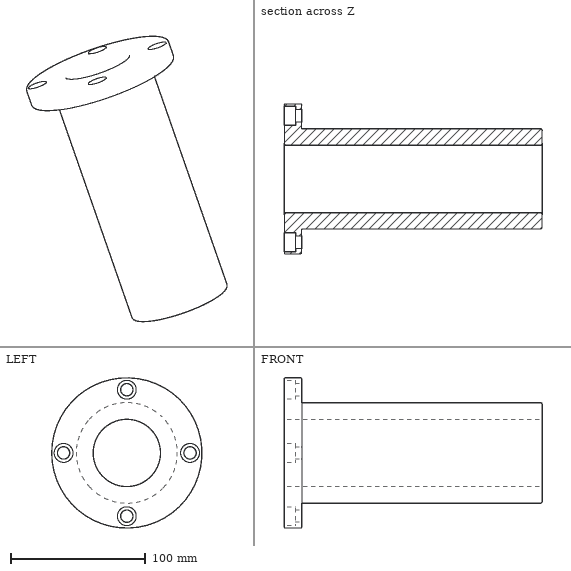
import cadquery as cq

length = 192.0
flange_diameter = 112.0
flange_thickness = 13.0
tube_diameter = 75.0
bore_diameter = 50.0

flange_edge_radius = 1.0
tube_edge_radius = 1.5
mouth_radius = 1.5

screw_count = 4
screw_circle_diameter = 94.0
screw_diameter = 9.0
counterbore_diameter = 14.0
counterbore_depth = 8.5

flange_face_x = -length / 2


def cylinder(diameter, height, start_x):
    """Solid cylinder along +X, starting at start_x."""
    return cq.Workplane("YZ", origin=(start_x, 0, 0)).circle(diameter / 2).extrude(height)


def screw_cutter(diameter, depth):
    """Cylinders at every screw position, going in from the flange face."""
    return (
        cq.Workplane("YZ", origin=(flange_face_x, 0, 0))
        .polarArray(screw_circle_diameter / 2, 0, 360, screw_count)
        .circle(diameter / 2)
        .extrude(depth)
    )


flange = cylinder(flange_diameter, flange_thickness, flange_face_x).edges("%CIRCLE").fillet(flange_edge_radius)
tube = cylinder(tube_diameter, length, flange_face_x).faces(">X").edges("%CIRCLE").fillet(tube_edge_radius)
body = flange.union(tube)

bore = cylinder(bore_diameter, length, flange_face_x)
body = body.cut(bore)
bore_mouths = body.faces("<X or >X").edges(cq.selectors.RadiusNthSelector(0))
body = bore_mouths.fillet(mouth_radius)

body = body.cut(screw_cutter(screw_diameter, flange_thickness))
body = body.cut(screw_cutter(counterbore_diameter, counterbore_depth))

result = body